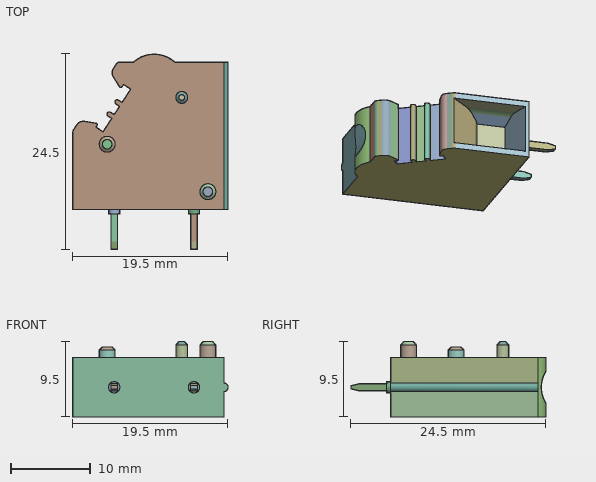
import cadquery as cq
import math


BODY_WIDTH = 19.0
BODY_LENGTH = 18.5
BODY_HEIGHT = 7.5
MID_Z = BODY_HEIGHT / 2

RECESS_ANGLE = 57.0
RECESS_CORNER = (3.8, 9.78)
RECESS_SPAN = 6.35
RECESS_DEPTH = 1.05
UPPER_LIP = 0.635
LOWER_LIP = 0.537
LIP_RADIUS = 0.2

BROW_X = 5.6
NOSE = (4.74, 17.16)
LOWER_BROW_Y = 9.87
CREST = (0.86, 11.19)
JAW_RADIUS = 1.0
BROW_RADIUS = 0.5
LOWER_BROW_RADIUS = 0.6

TAB_WIDTH = 0.6
TAB_LENGTH = 0.83
TAB_SPACING = 1.82
TAB_ROOT = 0.2

DOME_X = 10.21
DOME_CHORD = 5.2
DOME_RISE = 1.0
GROOVE_DEPTH = 0.59
GROOVE_WIDTH = 4.04

RIDGE_REACH = 0.5
RIDGE_RADIUS = 0.55

PEGS = [
    (4.32, 8.2, 2.0, 1.32, 0.37),
    (16.95, 2.25, 2.0, 2.0, 0.44),
    (13.67, 14.07, 1.5, 2.0, 0.44),
]
PEG_CHAMFER_WIDTH = 0.4

PIN_XS = (5.2, 15.2)
PIN_REACH = 5.0
PIN_WIDTH = 0.85
PIN_THICKNESS = 0.9
PIN_TIP_THICKNESS = 0.4
PIN_TAPER = 1.0
COLLAR_DIAMETER = 1.42
COLLAR_LENGTH = 0.52

FUNNEL_DEPTH = 4.67
MOUTH_LOW_Y = 0.5
MOUTH_HIGH_Y = 9.88
MOUTH_HEIGHT = 6.02
THROAT_LOW_Y = 1.69
THROAT_SIZE = 3.68
ROOF_BREAK_X = 4.24
FLARE_START_X = 2.45
FLARE_ANGLE = 34.0
FLARE_RADIUS = 1.7
FUNNEL_OVERRUN = 1.0


def recess_point(along, out):
    """XY point at a distance along the recess floor and outward from it."""
    angle = math.radians(RECESS_ANGLE)
    x = RECESS_CORNER[0] + along * math.cos(angle) - out * math.sin(angle)
    y = RECESS_CORNER[1] + along * math.sin(angle) + out * math.cos(angle)
    return (x, y)


def rounded_outline(corners):
    """Closed XY outline through (point, radius) corners; a radius of 0 stays sharp."""
    outline = None
    for index, (point, radius) in enumerate(corners):
        corner = cq.Vector(*point)
        to_last = (cq.Vector(*corners[index - 1][0]) - corner).normalized()
        to_next = (cq.Vector(*corners[(index + 1) % len(corners)][0]) - corner).normalized()
        half_angle = to_last.getAngle(to_next) / 2
        setback = radius / math.tan(half_angle)
        start = corner + to_last * setback
        if outline is None:
            outline = cq.Workplane("XY").moveTo(start.x, start.y)
        else:
            outline = outline.lineTo(start.x, start.y)
        if radius > 0:
            bisector = (to_last + to_next).normalized()
            middle = corner + bisector * (radius / math.sin(half_angle) - radius)
            end = corner + to_next * setback
            outline = outline.threePointArc((middle.x, middle.y), (end.x, end.y))
    return outline.close()


def make_body():
    corners = [
        ((0, 0), 0),
        ((BODY_WIDTH, 0), 0),
        ((BODY_WIDTH, BODY_LENGTH), 0),
        ((BROW_X, BODY_LENGTH), BROW_RADIUS),
        (NOSE, JAW_RADIUS),
        (recess_point(RECESS_SPAN - UPPER_LIP, RECESS_DEPTH), LIP_RADIUS),
        (recess_point(RECESS_SPAN, RECESS_DEPTH), 0),
        (recess_point(RECESS_SPAN, 0), 0),
        (recess_point(0, 0), 0),
        (recess_point(0, RECESS_DEPTH), 0),
        (recess_point(LOWER_LIP, RECESS_DEPTH), LIP_RADIUS),
        (CREST, JAW_RADIUS),
        ((0, LOWER_BROW_Y), LOWER_BROW_RADIUS),
    ]
    return rounded_outline(corners).extrude(BODY_HEIGHT)


def make_tab(along):
    """Round-ended tab standing on the recess floor, with a root buried in the body."""
    half_width = TAB_WIDTH / 2
    shoulder = TAB_LENGTH - half_width
    return (
        cq.Workplane("XY")
        .moveTo(*recess_point(along - half_width, -TAB_ROOT))
        .lineTo(*recess_point(along - half_width, shoulder))
        .threePointArc(
            recess_point(along, TAB_LENGTH),
            recess_point(along + half_width, shoulder),
        )
        .lineTo(*recess_point(along + half_width, -TAB_ROOT))
        .close()
        .extrude(BODY_HEIGHT)
    )


def make_dome():
    """Circular-segment dome with a shallow round groove running along X."""
    half_chord = DOME_CHORD / 2
    crown_y = BODY_LENGTH + DOME_RISE
    dome = (
        cq.Workplane("XY")
        .moveTo(DOME_X - half_chord, BODY_LENGTH)
        .threePointArc((DOME_X, crown_y), (DOME_X + half_chord, BODY_LENGTH))
        .close()
        .extrude(BODY_HEIGHT)
    )
    groove_radius = ((GROOVE_WIDTH / 2) ** 2 + GROOVE_DEPTH**2) / (2 * GROOVE_DEPTH)
    groove = (
        cq.Workplane("YZ", origin=(DOME_X - half_chord, 0, 0))
        .center(crown_y - GROOVE_DEPTH + groove_radius, MID_Z)
        .circle(groove_radius)
        .extrude(DOME_CHORD)
    )
    return dome.cut(groove)


def make_ridge():
    """Half-round ridge along the full +X side."""
    return (
        cq.Workplane("XZ")
        .center(BODY_WIDTH + RIDGE_REACH - RIDGE_RADIUS, MID_Z)
        .circle(RIDGE_RADIUS)
        .extrude(-BODY_LENGTH)
    )


def make_peg(x, y, diameter, height, chamfer_height):
    return (
        cq.Workplane("XY", origin=(x, y, BODY_HEIGHT))
        .circle(diameter / 2)
        .extrude(height)
        .faces(">Z")
        .chamfer(chamfer_height, PEG_CHAMFER_WIDTH)
    )


def make_pin(x):
    """Flat pin on a round collar, tapering in thickness at its tip."""
    collar = (
        cq.Workplane("XZ", origin=(x, 0, MID_Z))
        .circle(COLLAR_DIAMETER / 2)
        .extrude(COLLAR_LENGTH)
    )
    half_thickness = PIN_THICKNESS / 2
    half_tip = PIN_TIP_THICKNESS / 2
    taper_y = PIN_TAPER - PIN_REACH
    blade = (
        cq.Workplane("YZ", origin=(x, 0, MID_Z))
        .polyline(
            [
                (0, -half_thickness),
                (taper_y, -half_thickness),
                (-PIN_REACH, -half_tip),
                (-PIN_REACH, half_tip),
                (taper_y, half_thickness),
                (0, half_thickness),
            ]
        )
        .close()
        .extrude(PIN_WIDTH / 2, both=True)
    )
    return collar.union(blade)


def make_funnel():
    """Wire entry: its plan shape and its side shape, each run through the other."""
    low_slope = (THROAT_LOW_Y - MOUTH_LOW_Y) / FUNNEL_DEPTH
    flare_slope = math.tan(math.radians(FLARE_ANGLE))
    throat_high_y = THROAT_LOW_Y + THROAT_SIZE
    roof_break_y = throat_high_y + (FUNNEL_DEPTH - ROOF_BREAK_X) * flare_slope
    roof_slope = (MOUTH_HIGH_Y - roof_break_y) / ROOF_BREAK_X
    plan = (
        cq.Workplane("XY")
        .polyline(
            [
                (-FUNNEL_OVERRUN, MOUTH_LOW_Y - FUNNEL_OVERRUN * low_slope),
                (FUNNEL_DEPTH, THROAT_LOW_Y),
                (FUNNEL_DEPTH, throat_high_y),
                (ROOF_BREAK_X, roof_break_y),
                (-FUNNEL_OVERRUN, MOUTH_HIGH_Y + FUNNEL_OVERRUN * roof_slope),
            ]
        )
        .close()
        .extrude(BODY_HEIGHT)
    )

    def flare_point(angle_degrees):
        angle = math.radians(angle_degrees)
        x = FLARE_START_X + FLARE_RADIUS * math.sin(angle)
        z = MOUTH_HEIGHT / 2 - FLARE_RADIUS * (1 - math.cos(angle))
        return (x, z)

    half_side = (
        cq.Workplane("XZ", origin=(0, 0, MID_Z))
        .moveTo(-FUNNEL_OVERRUN, 0)
        .lineTo(-FUNNEL_OVERRUN, MOUTH_HEIGHT / 2)
        .lineTo(*flare_point(0))
        .threePointArc(flare_point(FLARE_ANGLE / 2), flare_point(FLARE_ANGLE))
        .lineTo(FUNNEL_DEPTH, THROAT_SIZE / 2)
        .lineTo(FUNNEL_DEPTH, 0)
        .close()
        .extrude(-BODY_LENGTH)
    )
    side = half_side.union(half_side.mirror("XY", (0, 0, MID_Z)))
    return plan.intersect(side)


result = make_body().union(make_dome()).union(make_ridge())
for side_sign in (-1, 1):
    result = result.union(make_tab((RECESS_SPAN + side_sign * TAB_SPACING) / 2))
for peg in PEGS:
    result = result.union(make_peg(*peg))
for pin_x in PIN_XS:
    result = result.union(make_pin(pin_x))
result = result.cut(make_funnel())